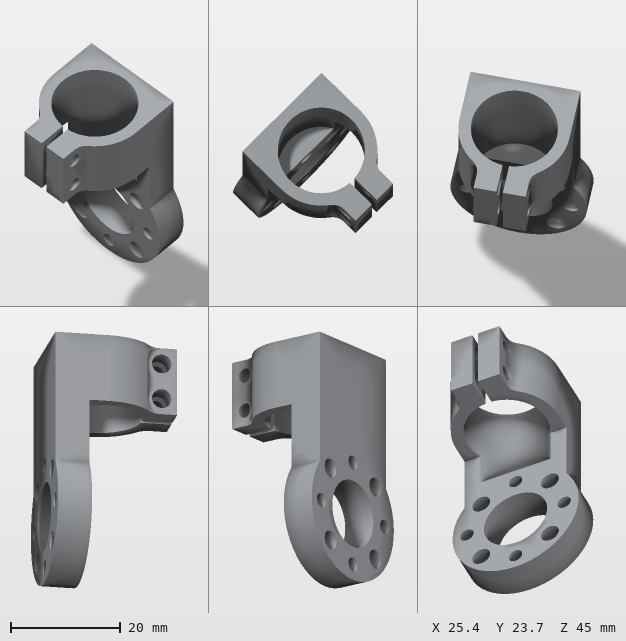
import cadquery as cq
import math


ring_radius = 12.7
plate_thickness = 6.35
body_width = 20.5
top_height = 32.26
hub_bore_diameter = 12.7
bolt_circle_radius = 9.78
holes_per_size = 4
small_hole_diameter = 2.7
large_hole_diameter = 3.6

clamp_height = 12.7
tube_diameter = 15.9
tube_centre_y = -10.1
tube_bore_floor = 12.7
ear_end_y = -23.73
ear_width = 9.7
slit_width = 1.2
ear_fillet_radius = 2.77

screw_spacing = 6.7
screw_y = -20.85
screw_clearance_diameter = 3.6
screw_thread_diameter = 2.7

half_body = body_width / 2
half_ear = ear_width / 2
clamp_bottom = top_height - clamp_height
clamp_middle = top_height - clamp_height / 2
screw_seat_radius = (clamp_height - screw_spacing) / 2


def make_plate():
    """Round ring with a straight-sided neck running up to the top face."""
    ring = cq.Workplane("XZ").circle(ring_radius).extrude(plate_thickness)
    neck = (
        cq.Workplane("XZ")
        .center(0, top_height / 2)
        .rect(body_width, top_height)
        .extrude(plate_thickness)
    )
    return ring.union(neck)


def make_clamp():
    """Flat-backed collar whose round front blends into two clamping ears."""
    fillet_x = half_ear + ear_fillet_radius
    centre_distance = half_body + ear_fillet_radius
    fillet_drop = math.sqrt(centre_distance**2 - fillet_x**2)
    fillet_y = tube_centre_y - fillet_drop

    contact_scale = half_body / centre_distance
    contact = (fillet_x * contact_scale, tube_centre_y - fillet_drop * contact_scale)

    mid_angle = math.atan2(fillet_drop, fillet_x) / 2
    collar_middle = (
        half_body * math.cos(mid_angle),
        tube_centre_y - half_body * math.sin(mid_angle),
    )
    fillet_middle = (
        fillet_x - ear_fillet_radius * math.cos(mid_angle),
        fillet_y + ear_fillet_radius * math.sin(mid_angle),
    )

    half_collar = (
        cq.Workplane("XY", origin=(0, 0, clamp_bottom))
        .lineTo(half_body, 0)
        .lineTo(half_body, tube_centre_y)
        .threePointArc(collar_middle, contact)
        .threePointArc(fillet_middle, (half_ear, fillet_y))
        .lineTo(half_ear, ear_end_y)
        .lineTo(0, ear_end_y)
        .close()
        .extrude(clamp_height)
    )
    return half_collar.union(half_collar.mirror("YZ"))


def make_ring_holes():
    """Central bore and eight bolt holes of alternating size."""
    holes = cq.Workplane("XZ").circle(hub_bore_diameter / 2).extrude(plate_thickness)
    diagonal_angle = 180 / holes_per_size
    for diameter, start_angle in (
        (small_hole_diameter, 0),
        (large_hole_diameter, diagonal_angle),
    ):
        bolt_holes = (
            cq.Workplane("XZ")
            .polarArray(bolt_circle_radius, start_angle, 360, holes_per_size)
            .circle(diameter / 2)
            .extrude(plate_thickness)
        )
        holes = holes.union(bolt_holes)
    return holes


def make_tube_bore():
    """Tube bore, which also scoops the front of the plate below the collar."""
    return (
        cq.Workplane("XY", origin=(0, tube_centre_y, tube_bore_floor))
        .circle(tube_diameter / 2)
        .extrude(top_height - tube_bore_floor)
    )


def make_slit():
    """Gap between the ears, from the tube bore to the ear ends."""
    slit_length = tube_centre_y - ear_end_y
    return (
        cq.Workplane("XY", origin=(0, tube_centre_y - slit_length / 2, clamp_bottom))
        .rect(slit_width, slit_length)
        .extrude(clamp_height)
    )


def make_screw_seat():
    """Round-ended recess level with the -X ear side, open toward the ear end."""
    depth = half_body - half_ear
    rounded_end = (
        cq.Workplane("YZ", origin=(-half_body, screw_y, clamp_middle))
        .slot2D(clamp_height, 2 * screw_seat_radius, 90)
        .extrude(depth)
    )
    open_length = screw_y - ear_end_y
    open_end = (
        cq.Workplane("YZ", origin=(-half_body, screw_y - open_length / 2, clamp_middle))
        .rect(open_length, clamp_height)
        .extrude(depth)
    )
    return rounded_end.union(open_end)


def make_screw_holes():
    """Clearance holes in the -X ear and thread holes in the +X ear."""
    holes = cq.Workplane("YZ")
    for start_x, diameter in (
        (-half_body, screw_clearance_diameter),
        (0, screw_thread_diameter),
    ):
        pair = (
            cq.Workplane("YZ", origin=(start_x, screw_y, clamp_middle))
            .rarray(1, screw_spacing, 1, 2)
            .circle(diameter / 2)
            .extrude(half_body)
        )
        holes = holes.add(pair)
    return holes.combine()


result = (
    make_plate()
    .union(make_clamp())
    .cut(make_ring_holes())
    .cut(make_tube_bore())
    .cut(make_slit())
    .cut(make_screw_seat())
    .cut(make_screw_holes())
)